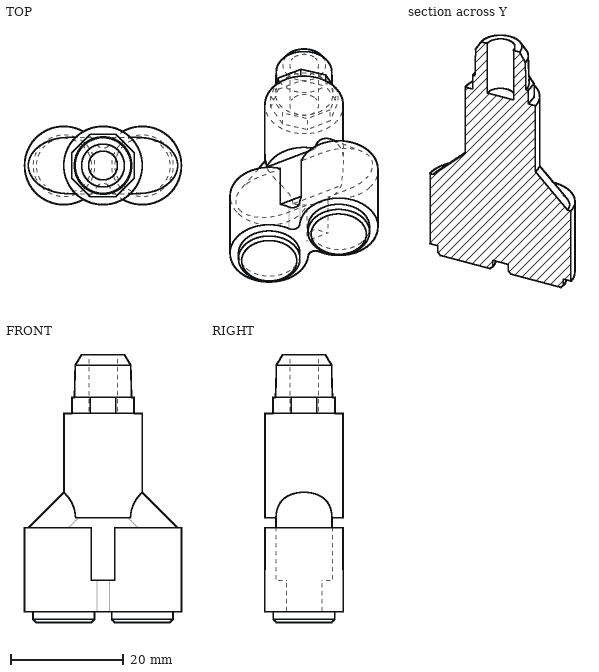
import cadquery as cq
import math


total_height = 47.7
outlet_bottom = 1.9
web_bottom = 7.55
outlet_top = 16.9
body_bottom = 18.6
body_top = 37.2
octagon_top = 40.05
thread_top = 45.8

barrel_diameter = 13.98
barrel_radius = barrel_diameter / 2
outlet_offset = barrel_radius

collar_radius = 5.5
collar_chamfer = 0.55

octagon_width = 11.05
octagon_sides = 8
thread_base_radius = 5.1
thread_top_radius = 4.95
tip_radius = 3.8
bore_radius = 2.58
bore_depth = total_height - body_top

arm_radius = 5.0
arm_angle = 45.0
arm_axis_height = 23.1
web_half_width = outlet_offset

valley_radius = 1.3


def cylinder(radius, bottom, top, x=0):
    """Upright cylinder between two heights."""
    return cq.Workplane("XY", origin=(x, 0, bottom)).circle(radius).extrude(top - bottom)


def make_outlet(x):
    """Outlet barrel with its chamfered release collar."""
    collar_profile = [
        (0, 0),
        (collar_radius - collar_chamfer, 0),
        (collar_radius, collar_chamfer),
        (collar_radius, outlet_bottom),
        (0, outlet_bottom),
    ]
    collar = cq.Workplane("XZ").polyline(collar_profile).close().revolve(360, (0, 0), (0, 1))
    return cylinder(barrel_radius, outlet_bottom, outlet_top, x).union(collar.translate((x, 0, 0)))


def make_arm(side):
    """Round arm sloping from the body axis into one outlet."""
    angle = math.radians(arm_angle)
    direction = cq.Vector(side * math.sin(angle), 0, -math.cos(angle))
    drop = arm_axis_height - outlet_top + arm_radius * math.sin(angle)
    start = cq.Vector(0, 0, arm_axis_height)
    return cq.Workplane(cq.Solid.makeCylinder(arm_radius, drop / math.cos(angle), start, direction))


def make_web():
    """Flat-sided web between the arms, running down between the outlets."""
    reach = math.tan(math.radians(arm_angle))
    shoulder_height = arm_axis_height - web_half_width / reach
    profile = [
        (0, arm_axis_height),
        (web_half_width, shoulder_height),
        (web_half_width, web_bottom),
        (-web_half_width, web_bottom),
        (-web_half_width, shoulder_height),
    ]
    return cq.Workplane("XZ").polyline(profile).close().extrude(arm_radius, both=True)


def make_valley_fill():
    """Filler between the outlets, ending in concave arcs tangent to both barrels."""
    center_distance = barrel_radius + valley_radius
    arc_center_y = math.sqrt(center_distance**2 - outlet_offset**2)
    tangent_x = outlet_offset * valley_radius / center_distance
    tangent_y = arc_center_y * barrel_radius / center_distance
    arc_bottom_y = arc_center_y - valley_radius
    return (
        cq.Workplane("XY", origin=(0, 0, outlet_bottom))
        .moveTo(-tangent_x, tangent_y)
        .threePointArc((0, arc_bottom_y), (tangent_x, tangent_y))
        .lineTo(tangent_x, -tangent_y)
        .threePointArc((0, -arc_bottom_y), (-tangent_x, -tangent_y))
        .close()
        .extrude(outlet_top - outlet_bottom)
    )


def make_inlet():
    """Body barrel, octagonal collar and tapered thread with a conical tip."""
    thread_profile = [
        (0, octagon_top),
        (thread_base_radius, octagon_top),
        (thread_top_radius, thread_top),
        (tip_radius, total_height),
        (0, total_height),
    ]
    thread = cq.Workplane("XZ").polyline(thread_profile).close().revolve(360, (0, 0), (0, 1))
    half_facet = 180 / octagon_sides
    corner_diameter = octagon_width / math.cos(math.radians(half_facet))
    octagon = (
        cq.Workplane("XY", origin=(0, 0, body_top))
        .transformed(rotate=(0, 0, half_facet))
        .polygon(octagon_sides, corner_diameter)
        .extrude(octagon_top - body_top)
    )
    return cylinder(barrel_radius, body_bottom, body_top).union(octagon).union(thread)


result = make_inlet().union(make_web()).union(make_valley_fill())
for side in (-1, 1):
    result = result.union(make_arm(side)).union(make_outlet(side * outlet_offset))
result = result.cut(cylinder(bore_radius, total_height - bore_depth, total_height))